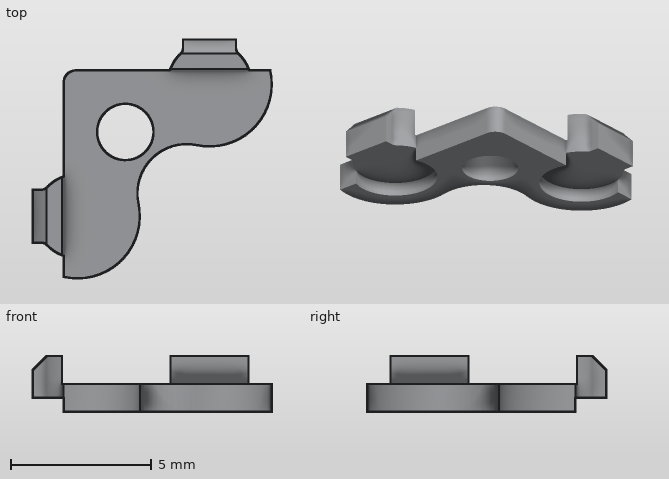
import cadquery as cq
import math

plate_thickness = 1.0
hole_diameter = 2.0
edge_offset = 2.2
corner_radius = 0.45

lobe_spacing = 3.0
lobe_inset = 0.5
lobe_radius = 2.22
inner_radius = 1.75

tab_radius = 1.5
tab_reach = 1.1
tab_bottom = 0.5
tab_top = 2.0
tab_gap = 0.05
nose_width = 1.9
nose_fillet = 0.25
nose_chamfer = 0.5

lobe_depth = edge_offset - lobe_inset


def along(start, end, distance):
    """Point at the given distance from start on the line towards end."""
    ratio = distance / math.dist(start, end)
    return tuple(s + ratio * (e - s) for s, e in zip(start, end))


def mirrored(point):
    """Reflect a point in the diagonal of symmetry."""
    x, y = point
    return (-y, -x)


def make_plate():
    """Plate with two lobes, a rounded outer corner and the through hole."""
    lobe_centre = (-lobe_depth, -lobe_spacing)

    half_gap = math.dist(lobe_centre, mirrored(lobe_centre)) / 2
    lobe_middle = (lobe_spacing - lobe_depth) / 2
    climb = math.sqrt((lobe_radius + inner_radius) ** 2 - half_gap ** 2) / math.sqrt(2)
    inner_centre = (lobe_middle + climb, -lobe_middle - climb)
    inner_middle = along(inner_centre, (0, 0), inner_radius)

    lobe_end = (
        -edge_offset,
        -lobe_spacing - math.sqrt(lobe_radius ** 2 - lobe_inset ** 2),
    )
    lobe_outer = along(lobe_centre, (0, -lobe_spacing - lobe_depth), lobe_radius)
    tangent = along(lobe_centre, inner_centre, lobe_radius)

    plate = (
        cq.Workplane("XY")
        .moveTo(-edge_offset, edge_offset)
        .lineTo(*lobe_end)
        .threePointArc(lobe_outer, tangent)
        .threePointArc(inner_middle, mirrored(tangent))
        .threePointArc(mirrored(lobe_outer), mirrored(lobe_end))
        .close()
        .extrude(plate_thickness)
    )
    corner = cq.selectors.NearestToPointSelector((-edge_offset, edge_offset, plate_thickness / 2))
    plate = plate.edges("|Z").edges(corner).fillet(corner_radius)
    hole = cq.Workplane("XY").circle(hole_diameter / 2).extrude(plate_thickness)
    return plate.cut(hole)


def make_tab():
    """Tab pointing towards -X, with the lobe centre at its origin."""
    half_nose = nose_width / 2
    tip = -lobe_inset - tab_reach
    inner_face = -lobe_inset - tab_gap
    root_half_width = math.sqrt(tab_radius ** 2 - lobe_inset ** 2)

    fillet_y = half_nose + nose_fillet
    fillet_x = -math.sqrt((tab_radius + nose_fillet) ** 2 - fillet_y ** 2)
    join_x, join_y = along((0, 0), (fillet_x, fillet_y), tab_radius)
    chord_mid = ((fillet_x + join_x) / 2, (half_nose + join_y) / 2)
    fillet_mid = along((fillet_x, fillet_y), chord_mid, nose_fillet)
    flank_angle = (math.atan2(join_y, -join_x) + math.atan2(root_half_width, lobe_inset)) / 2
    flank_mid = (-tab_radius * math.cos(flank_angle), tab_radius * math.sin(flank_angle))

    tab = (
        cq.Workplane("XY")
        .workplane(offset=tab_bottom)
        .moveTo(tip, -half_nose)
        .lineTo(tip, half_nose)
        .lineTo(fillet_x, half_nose)
        .threePointArc(fillet_mid, (join_x, join_y))
        .threePointArc(flank_mid, (-lobe_inset, root_half_width))
        .lineTo(-lobe_inset, -root_half_width)
        .threePointArc((flank_mid[0], -flank_mid[1]), (join_x, -join_y))
        .threePointArc((fillet_mid[0], -fillet_mid[1]), (fillet_x, -half_nose))
        .close()
        .extrude(tab_top - tab_bottom)
    )

    lead_in = (
        cq.Workplane("XZ")
        .moveTo(tip, tab_top)
        .lineTo(tip + nose_chamfer, tab_top)
        .lineTo(tip, tab_top - nose_chamfer)
        .close()
        .extrude(tab_radius, both=True)
    )
    clearance = (
        cq.Workplane("XY")
        .box(tab_gap, 2 * tab_radius, tab_top - plate_thickness, centered=(False, True, False))
        .translate((inner_face, 0, plate_thickness))
    )
    return tab.cut(lead_in).cut(clearance)


def make_recess():
    """Round pocket in the underside, below a tab."""
    return cq.Workplane("XY").circle(tab_radius).extrude(tab_bottom)


result = make_plate()
tab_places = [
    (0, (-lobe_depth, -lobe_spacing, 0)),
    (-90, (lobe_spacing, lobe_depth, 0)),
]
for turn, place in tab_places:
    result = result.cut(make_recess().translate(place))
    result = result.union(make_tab().rotate((0, 0, 0), (0, 0, 1), turn).translate(place))